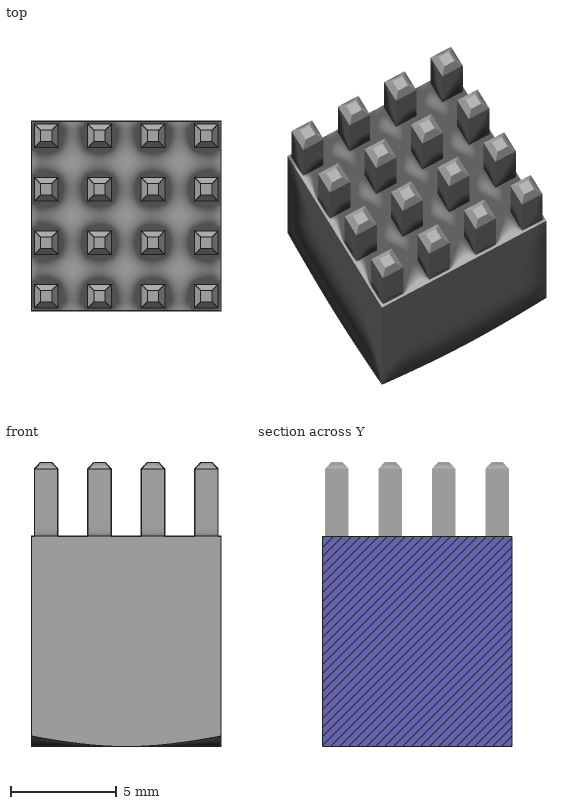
import cadquery as cq
import math

body_width = 9.0
body_height = 10.0
total_height = 13.5

pins_per_side = 4
pin_pitch = 2.54
pin_width = 1.12
tip_width = 0.54
tip_height = 0.31

relief_angle = 15.0


def make_body():
    """Square block whose bottom corners are trimmed by a cone touching the edge midpoints."""
    block = cq.Workplane("XY").box(body_width, body_width, body_height, centered=(True, True, False))
    flat_radius = body_width / 2
    outer_radius = body_width
    relief_height = (outer_radius - flat_radius) * math.tan(math.radians(relief_angle))
    envelope = (
        cq.Workplane("XZ")
        .polyline([
            (0, 0),
            (flat_radius, 0),
            (outer_radius, relief_height),
            (outer_radius, body_height),
            (0, body_height),
        ])
        .close()
        .revolve(360, (0, 0, 0), (0, 1, 0))
    )
    return block.intersect(envelope)


def make_pins():
    """Square pins, each ending in a truncated pyramid."""
    shaft_top = total_height - tip_height
    shafts = (
        cq.Workplane("XY", origin=(0, 0, body_height))
        .rarray(pin_pitch, pin_pitch, pins_per_side, pins_per_side)
        .rect(pin_width, pin_width)
        .extrude(shaft_top - body_height)
    )
    tip_taper = math.degrees(math.atan((pin_width - tip_width) / 2 / tip_height))
    tips = (
        cq.Workplane("XY", origin=(0, 0, shaft_top))
        .rarray(pin_pitch, pin_pitch, pins_per_side, pins_per_side)
        .rect(pin_width, pin_width)
        .extrude(tip_height, taper=tip_taper)
    )
    return shafts.union(tips)


result = make_body().union(make_pins())